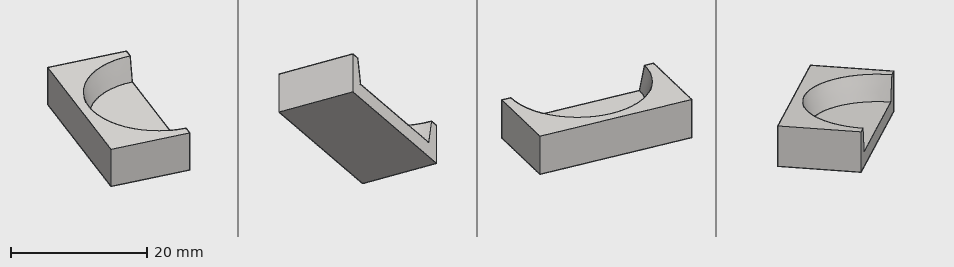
import cadquery as cq

length = 25.0
width = length / 2
height = 6.4

rim_radius = 11.0
floor_radius = 10.15
recess_depth = 4.0

floor_height = height - recess_depth
back_y = width / 2

block = cq.Workplane("XY").box(length, width, height, centered=(True, True, False))

recess = cq.Workplane(
    cq.Solid.makeCone(
        floor_radius,
        rim_radius,
        recess_depth,
        pnt=cq.Vector(0, back_y, floor_height),
        dir=cq.Vector(0, 0, 1),
    )
)

result = block.cut(recess)